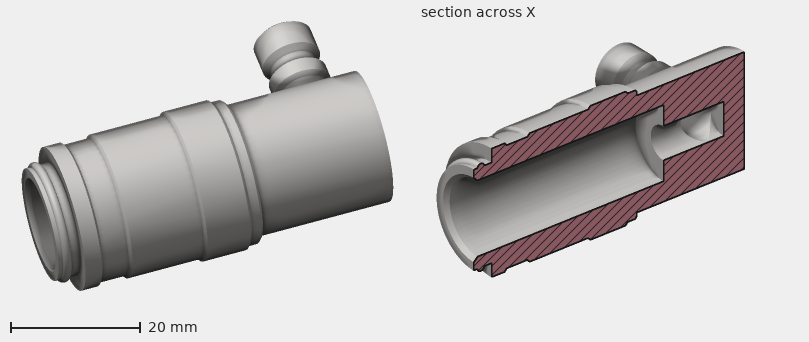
import cadquery as cq

body_length = 54
front_y = -body_length / 2
neck_radius = 9.0
bead_radius = 9.6
groove_radius = 11.0
sleeve_radius = 11.5
collar_radius = 12.0
shank_radius = 10.5
bead_start = 0.7
bead_end = 2.15
flange_start = 3.55
groove_start = 6.6
groove_end = 10.7
collar_start = 22.8
collar_end = 30.7
shank_start = 32.55
step_chamfer = collar_radius - sleeve_radius
edge_chamfer = 0.4

nozzle_y = 46.75

bore_radius = 6.75
bore_mouth_radius = 7.5
bore_depth = 37.8
passage_radius = 3.0
passage_end = nozzle_y + passage_radius

overall_width = 34.5
nozzle_reach = overall_width - collar_radius
nozzle_radius = 4.7
nozzle_groove_radius = 3.8
nozzle_root_radius = 4.05
tip_chamfer_length = 0.65
tip_chamfer_depth = 0.8
tip_end = 4.9
nozzle_groove_start = 5.95
nozzle_groove_end = 7.2
rear_land_start = 8.05
rear_land_end = 10.4
nozzle_root_start = 11.2


def make_barrel():
    """Solid stepped barrel, turned about the Y axis."""
    bead_middle = (bead_start + bead_end) / 2
    profile = (
        cq.Workplane("XY")
        .moveTo(0, 0)
        .lineTo(neck_radius, 0)
        .lineTo(neck_radius, bead_start)
        .threePointArc((bead_radius, bead_middle), (neck_radius, bead_end))
        .lineTo(neck_radius, flange_start)
        .lineTo(sleeve_radius, flange_start)
        .lineTo(sleeve_radius, groove_start - edge_chamfer)
        .lineTo(groove_radius, groove_start)
        .lineTo(groove_radius, groove_end)
        .lineTo(sleeve_radius, groove_end + step_chamfer)
        .lineTo(sleeve_radius, collar_start)
        .lineTo(collar_radius, collar_start + step_chamfer)
        .lineTo(collar_radius, collar_end - step_chamfer)
        .lineTo(sleeve_radius, collar_end)
        .lineTo(sleeve_radius, shank_start - edge_chamfer)
        .lineTo(sleeve_radius - edge_chamfer, shank_start)
        .lineTo(shank_radius, shank_start)
        .lineTo(shank_radius, body_length)
        .lineTo(0, body_length)
        .close()
    )
    return profile.revolve(360, (0, 0), (0, 1)).translate((0, front_y, 0))


def make_cavity():
    """Chamfered main bore with a narrower blind passage behind it."""
    mouth_chamfer = bore_mouth_radius - bore_radius
    profile = (
        cq.Workplane("XY")
        .moveTo(0, 0)
        .lineTo(bore_mouth_radius, 0)
        .lineTo(bore_radius, mouth_chamfer)
        .lineTo(bore_radius, bore_depth)
        .lineTo(passage_radius, bore_depth)
        .lineTo(passage_radius, passage_end)
        .lineTo(0, passage_end)
        .close()
    )
    return profile.revolve(360, (0, 0), (0, 1)).translate((0, front_y, 0))


def make_nozzle():
    """Grooved nozzle turned about X, running from its tip to the barrel axis."""
    profile = (
        cq.Workplane("XY")
        .moveTo(0, 0)
        .lineTo(0, nozzle_radius - tip_chamfer_depth)
        .lineTo(tip_chamfer_length, nozzle_radius)
        .lineTo(tip_end, nozzle_radius)
        .lineTo(nozzle_groove_start, nozzle_groove_radius)
        .lineTo(nozzle_groove_end, nozzle_groove_radius)
        .lineTo(rear_land_start, nozzle_radius)
        .lineTo(rear_land_end, nozzle_radius)
        .lineTo(nozzle_root_start, nozzle_root_radius)
        .lineTo(nozzle_reach, nozzle_root_radius)
        .lineTo(nozzle_reach, 0)
        .close()
    )
    nozzle = profile.revolve(360, (0, 0), (1, 0))
    return nozzle.translate((-nozzle_reach, front_y + nozzle_y, 0))


def make_nozzle_bore():
    """Straight hole from the nozzle tip into the axial passage."""
    return (
        cq.Workplane("YZ", origin=(-nozzle_reach, front_y + nozzle_y, 0))
        .circle(passage_radius)
        .extrude(nozzle_reach)
    )


result = make_barrel().union(make_nozzle()).cut(make_cavity()).cut(make_nozzle_bore())